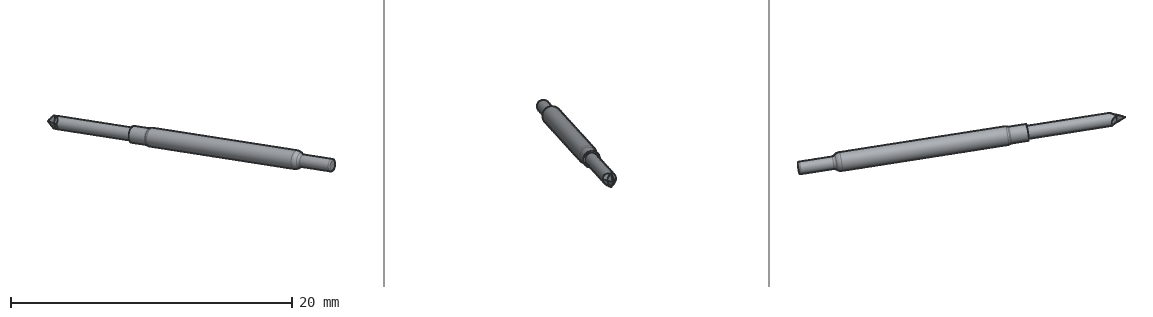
import cadquery as cq

plunger_diameter = 0.96
collar_diameter = 1.23
barrel_diameter = 1.37
tail_diameter = 0.92

plunger_radius = plunger_diameter / 2
collar_radius = collar_diameter / 2
barrel_radius = barrel_diameter / 2
tail_radius = tail_diameter / 2

overall_length = 23.62
plunger_length = 7.08
collar_length = 1.3
tip_to_crimp = 20.58

tip_x = -overall_length / 2
collar_x = tip_x + plunger_length
shoulder_x = collar_x + collar_length
crimp_x = tip_x + tip_to_crimp
tail_end_x = tip_x + overall_length

shoulder_concave_length = 0.07
shoulder_convex_length = 0.13
crimp_convex_length = 0.35
crimp_concave_length = 0.22

tail_rounding = 0.1

point_length = 0.67
point_half_width = 0.27
point_half_height = point_length
flare_slope = 0.66
flare_ratio = 2.0


def make_pyramid(apex_x, length, half_width, half_height):
    """Pyramid along +X with a diamond base whose corners lie on the Y and Z axes."""
    base_x = apex_x + length
    apex = cq.Vector(apex_x, 0, 0)
    corners = [
        cq.Vector(base_x, half_width, 0),
        cq.Vector(base_x, 0, half_height),
        cq.Vector(base_x, -half_width, 0),
        cq.Vector(base_x, 0, -half_height),
    ]
    faces = [cq.Face.makeFromWires(cq.Wire.makePolygon(corners, close=True))]
    for index, corner in enumerate(corners):
        side = [apex, corner, corners[(index + 1) % len(corners)]]
        faces.append(cq.Face.makeFromWires(cq.Wire.makePolygon(side, close=True)))
    return cq.Workplane(obj=cq.Solid.makeSolid(cq.Shell.makeShell(faces)))


def make_plunger():
    """Round plunger whose front end is ground to the stepped four-sided point."""
    flare_apex_x = tip_x + point_length - point_half_width / flare_slope
    flare_length = collar_x - flare_apex_x
    flare_half_width = flare_length * flare_slope
    flare_half_height = flare_half_width * flare_ratio
    point = make_pyramid(tip_x, point_length, point_half_width, point_half_height)
    flare = make_pyramid(flare_apex_x, flare_length, flare_half_width, flare_half_height)
    rod = cq.Workplane("YZ", origin=(tip_x, 0, 0)).circle(plunger_radius).extrude(collar_x - tip_x)
    return point.union(flare).intersect(rod)


def tangent_arc_radius(length, height):
    """Radius of an arc that starts along X and climbs by height over a length along X."""
    return (length**2 + height**2) / (2 * height)


def add_smooth_step(profile, start, end, first_length, first_sign):
    """Append two arcs that join two X-parallel lines, meeting tangent to each other.

    Both arcs turn through the same angle, so they share the step height by length.
    first_sign is +1 when the first arc is convex and -1 when it is concave.
    """
    length = end[0] - start[0]
    rise = end[1] - start[1]
    first_share = first_length / length
    middle = (start[0] + first_length, start[1] + rise * first_share)
    first_radius = tangent_arc_radius(first_length, abs(rise) * first_share)
    second_radius = tangent_arc_radius(length - first_length, abs(rise) * (1 - first_share))
    return profile.radiusArc(middle, first_sign * first_radius).radiusArc(end, -first_sign * second_radius)


def make_barrel():
    """Collar, barrel, crimp and tail turned as one profile about the X axis."""
    shoulder_start = (shoulder_x, collar_radius)
    shoulder_end = (shoulder_x + shoulder_concave_length + shoulder_convex_length, barrel_radius)
    crimp_start = (crimp_x, barrel_radius)
    crimp_end = (crimp_x + crimp_convex_length + crimp_concave_length, tail_radius)

    profile = (
        cq.Workplane("XY")
        .moveTo(collar_x, 0)
        .lineTo(collar_x, collar_radius)
        .lineTo(*shoulder_start)
    )
    profile = add_smooth_step(profile, shoulder_start, shoulder_end, shoulder_concave_length, -1)
    profile = profile.lineTo(*crimp_start)
    profile = add_smooth_step(profile, crimp_start, crimp_end, crimp_convex_length, 1)
    profile = (
        profile
        .lineTo(tail_end_x - tail_rounding, tail_radius)
        .radiusArc((tail_end_x, tail_radius - tail_rounding), tail_rounding)
        .lineTo(tail_end_x, 0)
        .close()
    )
    return profile.revolve(360, (0, 0, 0), (1, 0, 0))


result = make_plunger().union(make_barrel())